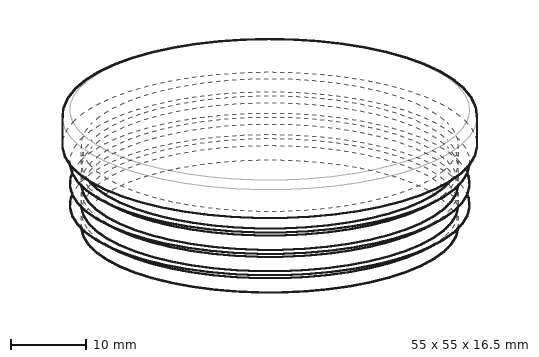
import cadquery as cq

head_diameter = 55.0
head_height = 5.0
head_fillet = 1.0
total_height = 16.5
plug_diameter = 50.0
plug_height = total_height - head_height

fin_diameter = 53.0
fin_height = 1.0
fin_pitch = 3.0
fin_count = 3


def make_head():
    head = cq.Workplane("XY").workplane(offset=plug_height).circle(head_diameter / 2).extrude(head_height)
    return head.faces(">Z").edges().fillet(head_fillet)


def make_fin(top_z):
    """Solid cone frustum whose wide face lies at top_z."""
    return (
        cq.Workplane("XY")
        .workplane(offset=top_z - fin_height)
        .circle(plug_diameter / 2)
        .workplane(offset=fin_height)
        .circle(fin_diameter / 2)
        .loft(ruled=True)
    )


result = cq.Workplane("XY").circle(plug_diameter / 2).extrude(plug_height).union(make_head())
for fin_number in range(1, fin_count + 1):
    result = result.union(make_fin(fin_number * fin_pitch))